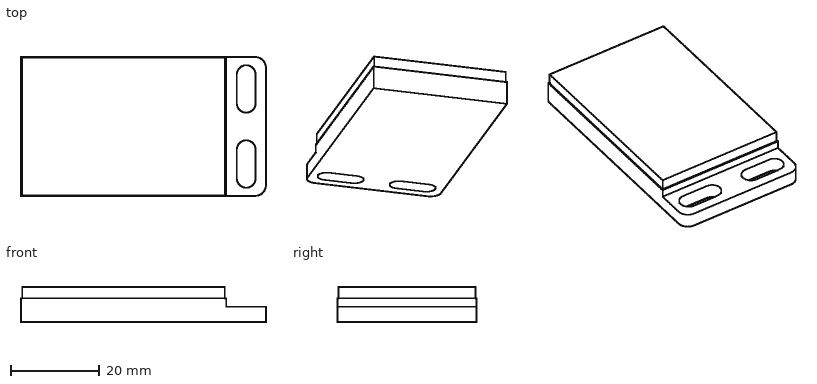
import cadquery as cq

total_length = 55.5
width = 31.5
total_height = 8.0
body_length = 46.5
body_height = 5.4
flange_height = 3.5
corner_radius = 2.5

plate_end_margin = 0.3
plate_side_margin = 0.2
plate_length = body_length - 2 * plate_end_margin
plate_width = width - 2 * plate_side_margin

slot_width = 4.2
slot_length = 10.7
slot_spacing = 17.0
slot_center_x = (body_length + total_length) / 2


def box_from_left(left, length, depth, bottom, top):
    """Box starting at x = left, centred on the XZ plane."""
    return (
        cq.Workplane("XY")
        .box(length, depth, top - bottom, centered=(False, True, False))
        .translate((left, 0, bottom))
    )


def make_flange_layer():
    """Full-length lower layer, rounded at the two +X corners."""
    layer = box_from_left(0, total_length, width, 0, flange_height)
    return layer.edges("|Z and >X").fillet(corner_radius)


def make_slots():
    """Pair of round-ended slots running along Y."""
    return (
        cq.Workplane("XY")
        .pushPoints([(slot_center_x, side * slot_spacing / 2) for side in (-1, 1)])
        .slot2D(slot_length, slot_width, 90)
        .extrude(flange_height)
    )


body = box_from_left(0, body_length, width, 0, body_height)
plate = box_from_left(plate_end_margin, plate_length, plate_width, body_height, total_height)

result = make_flange_layer().cut(make_slots()).union(body).union(plate)